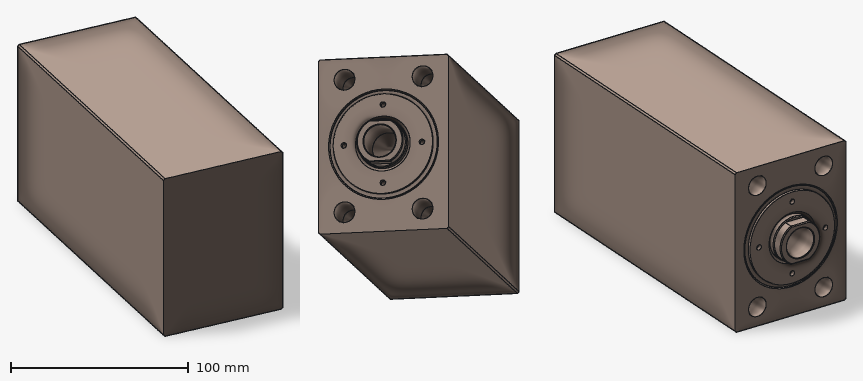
import cadquery as cq
import math


overall_length = 192.0
housing_width = 75.0
housing_height = 100.0
rod_protrusion = 10.0
housing_length = overall_length - rod_protrusion
edge_chamfer = 1.0
drill_point_angle = 118.0

recess_radius = 31.0
recess_depth = 28.8
recess_chamfer = 0.8

mount_hole_radius = 6.0
mount_hole_depth = 23.0
mount_spacing_y = 45.0
mount_spacing_z = 76.0

collar_radius = 28.6
collar_protrusion = 1.7
wiper_chamfer = 1.7
spanner_hole_count = 4
spanner_hole_radius = 1.5
spanner_hole_depth = 2.9
spanner_circle_radius = 22.5

rod_radius = 14.0
rod_chamfer = 0.5
tip_length = 6.1
tip_radius = rod_radius - rod_chamfer
across_flats = 24.0
tip_chamfer = 0.5
rod_hole_radius = 9.2
rod_hole_depth = 23.0
rod_hole_chamfer = 0.4


def revolve_about_axis(points):
    """Solid of revolution about X from an (x, radius) outline."""
    return cq.Workplane("XY").polyline(points).close().revolve(360, (0, 0, 0), (1, 0, 0))


def drilled_hole(face_x, radius, depth, y=0.0, z=0.0):
    """Cutter for a blind hole along +X that ends in a drill point."""
    point_length = radius / math.tan(math.radians(drill_point_angle / 2))
    outline = [(0, 0), (0, radius), (depth, radius), (depth + point_length, 0)]
    return revolve_about_axis(outline).translate((face_x, y, z))


def make_housing():
    block = (
        cq.Workplane("YZ")
        .rect(housing_width, housing_height)
        .extrude(housing_length)
        .edges("|X")
        .chamfer(edge_chamfer)
    )
    recess = revolve_about_axis([
        (0, 0),
        (0, recess_radius + recess_chamfer),
        (recess_chamfer, recess_radius),
        (recess_depth, recess_radius),
        (recess_depth, 0),
    ])
    block = block.cut(recess)
    for side_y in (-1, 1):
        for side_z in (-1, 1):
            hole_y = side_y * mount_spacing_y / 2
            hole_z = side_z * mount_spacing_z / 2
            block = block.cut(drilled_hole(0, mount_hole_radius, mount_hole_depth, hole_y, hole_z))
    return block


def make_gland():
    ring = revolve_about_axis([
        (-collar_protrusion, rod_radius + wiper_chamfer),
        (-collar_protrusion, collar_radius),
        (0, collar_radius),
        (0, recess_radius),
        (recess_depth, recess_radius),
        (recess_depth, rod_radius),
        (wiper_chamfer - collar_protrusion, rod_radius),
    ])
    for index in range(spanner_hole_count):
        angle = 2 * math.pi * index / spanner_hole_count
        hole_y = spanner_circle_radius * math.cos(angle)
        hole_z = spanner_circle_radius * math.sin(angle)
        ring = ring.cut(
            drilled_hole(-collar_protrusion, spanner_hole_radius, spanner_hole_depth, hole_y, hole_z)
        )
    return ring


def make_rod():
    front_x = -rod_protrusion
    shoulder_x = front_x + tip_length
    shaft = revolve_about_axis([
        (shoulder_x, 0),
        (shoulder_x, tip_radius),
        (shoulder_x + rod_chamfer, rod_radius),
        (recess_depth, rod_radius),
        (recess_depth, 0),
    ])
    tip_plane = cq.Workplane("YZ", origin=(front_x, 0, 0))
    flats = tip_plane.rect(2 * tip_radius, across_flats).extrude(tip_length)
    tip = tip_plane.circle(tip_radius).extrude(tip_length).intersect(flats)
    tip = tip.faces("<X").edges().chamfer(tip_chamfer)
    mouth = revolve_about_axis([
        (front_x, 0),
        (front_x, rod_hole_radius + rod_hole_chamfer),
        (front_x + rod_hole_chamfer, rod_hole_radius),
        (front_x + rod_hole_chamfer, 0),
    ])
    return shaft.union(tip).cut(drilled_hole(front_x, rod_hole_radius, rod_hole_depth)).cut(mouth)


housing = make_housing()
gland = make_gland()
rod = make_rod()

result = cq.Compound.makeCompound([housing.val(), gland.val(), rod.val()])